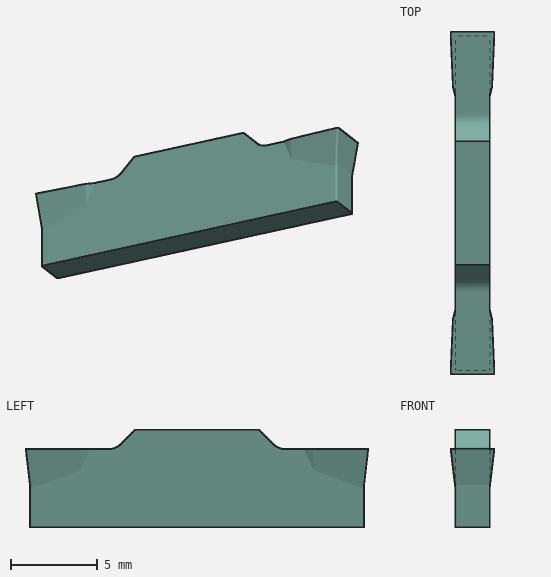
import cadquery as cq
import math

body_width = 2.0
body_length = 19.35
body_height = 5.65
body_corner_radius = 0.1

ridge_length = 7.16
ridge_rise = 1.12
ramp_angle = 45.0
ramp_blend_radius = 1.0

overall_length = 19.83
edge_width = 2.555
edge_corner_radius = 0.1
side_taper = 2.45
relief_angle = 6.6
flank_length = 3.2
runout_length = 0.52
relief_overrun = 0.25

end_height = body_height - ridge_rise
relief_depth = (edge_width - body_width) / 2 / math.tan(math.radians(relief_angle)) + relief_overrun


def make_body():
    """Side profile in the YZ plane, carried through the body width."""
    half_length = body_length / 2
    ridge_end = ridge_length / 2
    slope = math.radians(ramp_angle)
    ramp_foot = ridge_end + ridge_rise / math.tan(slope)
    tangent_length = ramp_blend_radius * math.tan(slope / 2)
    blend_outer_y = ramp_foot + tangent_length
    blend_inner_y = ramp_foot - tangent_length * math.cos(slope)
    blend_inner_z = end_height + tangent_length * math.sin(slope)
    blend_middle_y = blend_outer_y - ramp_blend_radius * math.sin(slope / 2)
    blend_middle_z = end_height + ramp_blend_radius * (1 - math.cos(slope / 2))

    profile = (
        cq.Workplane("YZ")
        .moveTo(-half_length, 0)
        .lineTo(half_length, 0)
        .lineTo(half_length, end_height)
        .lineTo(blend_outer_y, end_height)
        .threePointArc((blend_middle_y, blend_middle_z), (blend_inner_y, blend_inner_z))
        .lineTo(ridge_end, body_height)
        .lineTo(-ridge_end, body_height)
        .lineTo(-blend_inner_y, blend_inner_z)
        .threePointArc((-blend_middle_y, blend_middle_z), (-blend_outer_y, end_height))
        .lineTo(-half_length, end_height)
        .close()
    )
    body = profile.extrude(body_width / 2, both=True)
    return body.edges("|Z").fillet(body_corner_radius)


def make_head():
    """Head at the +Y end: its top outline, drawn in by the relief angle going down."""
    tip_y = overall_length / 2
    flank_end_y = tip_y - flank_length
    runout_end_y = flank_end_y - runout_length
    half_edge = edge_width / 2
    half_flank_end = half_edge - flank_length * math.tan(math.radians(side_taper))
    half_body = body_width / 2

    head = (
        cq.Workplane("XY", origin=(0, 0, end_height))
        .polyline(
            [
                (half_edge, tip_y),
                (half_flank_end, flank_end_y),
                (half_body, runout_end_y),
                (-half_body, runout_end_y),
                (-half_flank_end, flank_end_y),
                (-half_edge, tip_y),
            ]
        )
        .close()
        .extrude(-relief_depth, taper=relief_angle)
    )
    tip_corners = head.faces(">Y").edges("not |X")
    return tip_corners.fillet(edge_corner_radius)


head = make_head()
result = make_body().union(head).union(head.mirror("XZ")).clean()